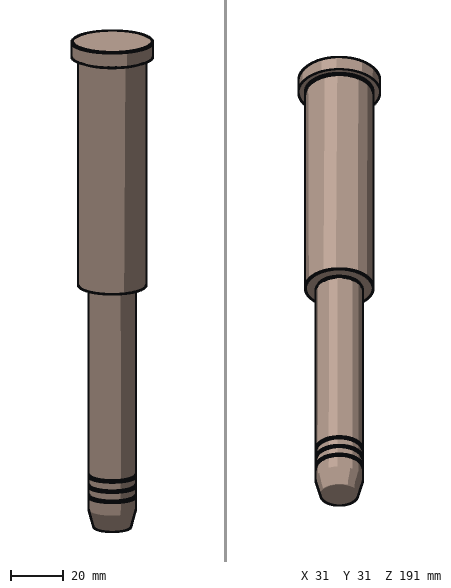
import cadquery as cq
import math


total_length = 191.0
head_length = 6.0
body_length = 90.0

head_diameter = 31.0
body_diameter = 26.0
shank_diameter = 18.0

head_chamfer = 0.5
body_chamfer = 0.3
body_relief_width = 1.0
body_relief_depth = 0.3
shank_relief_width = 1.0
shank_relief_depth = 0.5

nose_length = 7.0
nose_half_angle = 15.0
tip_radius = shank_diameter / 2 - nose_length * math.tan(math.radians(nose_half_angle))
tip_round = 0.5

groove_count = 3
groove_pitch = 4.0
groove_width = 1.0
groove_depth = 0.35
lowest_groove_z = 12.5

head_bottom_z = total_length - head_length
body_bottom_z = head_bottom_z - body_length


def cylinder(diameter, bottom_z, top_z):
    """Solid cylinder on the Z axis between two levels."""
    return cq.Workplane("XY").workplane(offset=bottom_z).circle(diameter / 2).extrude(top_z - bottom_z)


def square_groove(diameter, depth, bottom_z, width):
    """Ring of square-cornered section to cut a groove into a cylinder of the given diameter."""
    outer = cylinder(diameter, bottom_z, bottom_z + width)
    core = cylinder(diameter - 2 * depth, bottom_z, bottom_z + width)
    return outer.cut(core)


def vee_groove(diameter, depth, bottom_z, width):
    """Ring of triangular section to cut a V groove into a cylinder of the given diameter."""
    rim_radius = diameter / 2
    profile = (
        cq.Workplane("XZ")
        .moveTo(rim_radius, bottom_z)
        .lineTo(rim_radius - depth, bottom_z + width / 2)
        .lineTo(rim_radius, bottom_z + width)
        .close()
    )
    return profile.revolve(360, (0, 0), (0, 1))


def make_head():
    """Flat head with a small chamfer on its top edge."""
    head = cylinder(head_diameter, head_bottom_z, total_length)
    return head.faces(">Z").edges().chamfer(head_chamfer)


def make_body():
    """Thick fitting section, relieved just below the head and chamfered at its lower end."""
    body = cylinder(body_diameter, body_bottom_z, head_bottom_z)
    body = body.faces("<Z").edges().chamfer(body_chamfer)
    relief_bottom_z = head_bottom_z - body_relief_width
    return body.cut(vee_groove(body_diameter, body_relief_depth, relief_bottom_z, body_relief_width))


def make_nose():
    """Conical nose with a small round at the tip."""
    cone = cq.Solid.makeCone(tip_radius, shank_diameter / 2, nose_length)
    nose = cq.Workplane(cone)
    return nose.faces("<Z").edges().fillet(tip_round)


def make_shank():
    """Slim guiding section, relieved at the body and grooved near the nose."""
    shank = cylinder(shank_diameter, nose_length, body_bottom_z)
    relief_bottom_z = body_bottom_z - shank_relief_width
    shank = shank.cut(square_groove(shank_diameter, shank_relief_depth, relief_bottom_z, shank_relief_width))
    for index in range(groove_count):
        groove_bottom_z = lowest_groove_z + index * groove_pitch - groove_width / 2
        shank = shank.cut(vee_groove(shank_diameter, groove_depth, groove_bottom_z, groove_width))
    return shank


result = make_head().union(make_body()).union(make_shank()).union(make_nose())